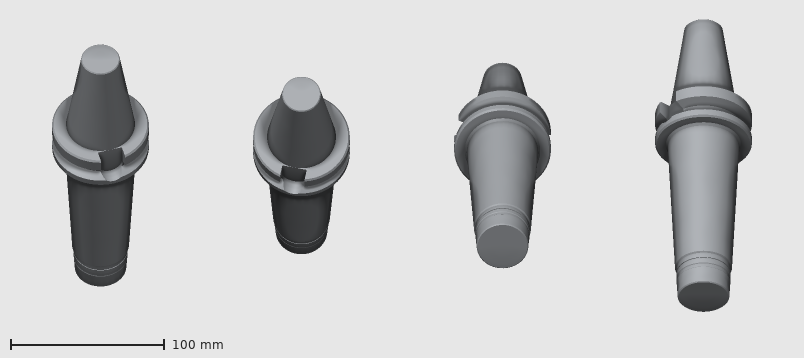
import cadquery as cq

total_height = 215.5
shank_base_radius = 22.5
taper_ratio = 7 / 24
shank_chamfer = 0.6

flange_radius = 31.5
flange_top_z = 148.0
flange_bottom_z = 123.0
flange_chamfer = 1.0
groove_radius = 25.5
groove_floor_top_z = 136.0
groove_floor_bottom_z = 131.0
groove_mouth_top_z = 139.0
groove_mouth_bottom_z = 128.4

slot_width = 16.2
slot_floor_x = 22.5
slot_bottom_z = 126.7

neck_radius = 24.5
body_top_z = 121.3
body_top_radius = 23.3
body_bottom_z = 23.7
body_bottom_radius = 18.5

collar_radius = 17.7
ring_width = 0.9
ring_depth = 0.5
upper_ring_z = 18.7
neck_groove_top_z = 14.9
neck_groove_bottom_z = 11.6
neck_groove_depth = 0.5
tip_top_radius = 17.5
tip_bottom_radius = 16.8
tip_chamfer = 0.6


def revolved_blank():
    """Revolve the complete outer outline, from tip to shank, about Z."""
    shank_top_radius = shank_base_radius - (total_height - flange_top_z) * taper_ratio / 2
    outline = [
        (0, 0),
        (tip_bottom_radius - tip_chamfer, 0),
        (tip_bottom_radius, tip_chamfer),
        (tip_top_radius, neck_groove_bottom_z),
        (collar_radius - neck_groove_depth, neck_groove_bottom_z + neck_groove_depth),
        (collar_radius - neck_groove_depth, neck_groove_top_z - neck_groove_depth),
        (collar_radius, neck_groove_top_z),
        (collar_radius, body_bottom_z - (body_bottom_radius - collar_radius)),
        (body_bottom_radius, body_bottom_z),
        (body_top_radius, body_top_z),
        (neck_radius, flange_bottom_z),
        (flange_radius - flange_chamfer, flange_bottom_z),
        (flange_radius, flange_bottom_z + flange_chamfer),
        (flange_radius, groove_mouth_bottom_z),
        (groove_radius, groove_floor_bottom_z),
        (groove_radius, groove_floor_top_z),
        (flange_radius, groove_mouth_top_z),
        (flange_radius, flange_top_z - flange_chamfer),
        (flange_radius - flange_chamfer, flange_top_z),
        (shank_base_radius, flange_top_z),
        (shank_top_radius, total_height - shank_chamfer),
        (shank_top_radius - shank_chamfer, total_height),
        (0, total_height),
    ]
    return cq.Workplane("XZ").polyline(outline).close().revolve(360, (0, 0), (0, 1))


def ring_groove():
    """Ring of material to remove for the shallow groove around the collar."""
    return (
        cq.Workplane("XY", origin=(0, 0, upper_ring_z - ring_width / 2))
        .circle(body_bottom_radius)
        .circle(collar_radius - ring_depth)
        .extrude(ring_width)
    )


def drive_slot(side):
    """Round-bottomed slot cutter outside the flat floor, on the +X (1) or -X (-1) side."""
    half_width = slot_width / 2
    arc_center_z = slot_bottom_z + half_width
    return (
        cq.Workplane("YZ", origin=(side * slot_floor_x, 0, 0))
        .moveTo(-half_width, flange_top_z)
        .lineTo(-half_width, arc_center_z)
        .threePointArc((0, slot_bottom_z), (half_width, arc_center_z))
        .lineTo(half_width, flange_top_z)
        .close()
        .extrude(side * flange_radius)
    )


result = revolved_blank().cut(ring_groove())
for slot_side in (-1, 1):
    result = result.cut(drive_slot(slot_side))